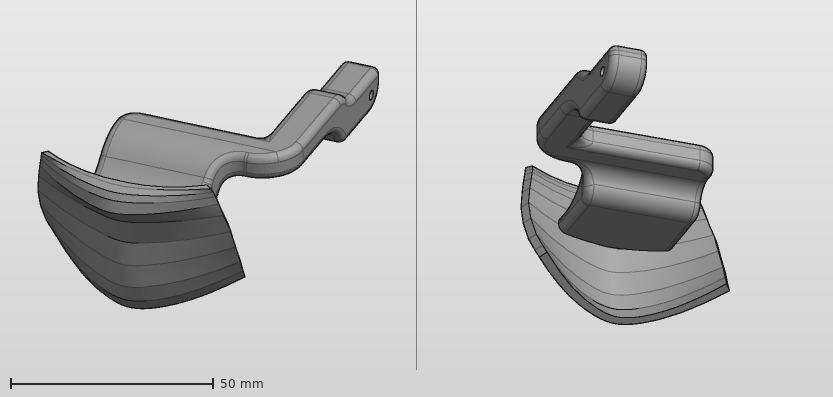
import cadquery as cq
import math

length = 94.0
edge_round = 2.0
tolerance = 0.01

lever_width = 10.0
lever_right = 32.5
lever_left = lever_right - lever_width
lever_top = 10.1
lever_bottom = -0.2
lever_toe_radius = 7.05

bar_top = 14.2
bar_bottom = 7.2
bar_back = 44.0
bar_front = 33.9
outer_bend_radius = 10.6
inner_bend_radius = 4.3

plate_half_width = 15.1
plate_top = 4.4
plate_corner_radius = 5.0
plate_neck_radius = 6.0
plate_end_side = 11.1
plate_end_middle = 8.4

lever_step_back = 78.0
lever_step_front = 68.2
lever_heel_front = 58.7
lever_heel_radius = 13.5
top_drop_back = 38.3
top_drop_front = 16.5
bottom_drop_back = 37.1
bottom_drop_front = 28.2

pivot_y = 87.8
pivot_z = 4.9
pivot_diameter = 2.4
recess_diameter = 5.4
recess_depth = 0.3

pad_levels = [
    (25.2, (26.8, -14.3), (12.0, -22.75), 2.1, 1.9, 1.7, 1.7),
    (25.6, (24.7, -11.5), (9.3, -19.1), 2.1, 1.9, 1.7, 1.7),
    (26.1, (21.8, -7.05), (7.8, -14.4), 2.1, 1.9, 1.6, 1.6),
    (26.2, (18.3, -0.9), (7.4, -8.0), 2.1, 1.9, 1.5, 1.6),
    (25.95, (16.0, 4.7), (7.4, -1.4), 2.1, 1.9, 1.5, 1.6),
    (24.8, (14.0, 9.9), (4.7, 6.0), 2.8, 1.9, 1.5, 1.6),
    (24.1, (13.1, 13.2), (0.0, 10.8), 6.2, 1.9, 1.6, 1.7),
    (23.5, (12.2, 15.3), (0.8, 13.9), 5.0, 1.7, 1.7, 2.0),
    (23.1, (11.3, 16.7), (2.0, 15.6), 3.8, 1.3, 1.7, 2.2),
    (22.75, (10.25, 18.1), (4.3, 16.4), 1.5, 0.9, 1.7, 2.2),
]
pad_side_taper = 1.4
pad_half_steps = 4


def add_step(profile, start, end):
    """Draw a line to start, then two equal arcs to end, level at both ends."""
    middle = ((start[0] + end[0]) / 2, (start[1] + end[1]) / 2)
    run = abs(middle[0] - start[0])
    rise = abs(middle[1] - start[1])
    radius = (run**2 + rise**2) / (2 * rise)
    turn = math.copysign(radius, (end[0] - start[0]) * (end[1] - start[1]))
    return profile.lineTo(*start).radiusArc(middle, -turn).radiusArc(end, turn)


def make_side_profile():
    """Arm seen along X, extruded over its whole width."""
    heel_centre_height = bar_bottom - lever_heel_radius
    heel_run = math.sqrt(lever_heel_radius**2 - (lever_bottom - heel_centre_height) ** 2)
    profile = cq.Workplane("YZ", origin=(-plate_half_width, 0, 0)).moveTo(length, lever_top)
    profile = add_step(profile, (lever_step_back, lever_top), (lever_step_front, bar_top))
    profile = add_step(profile, (top_drop_back, bar_top), (top_drop_front, plate_top))
    profile = profile.lineTo(0, plate_top).lineTo(0, 0)
    profile = add_step(profile, (bottom_drop_front, 0), (bottom_drop_back, bar_bottom))
    return (
        profile.lineTo(lever_heel_front, bar_bottom)
        .radiusArc((lever_heel_front + heel_run, lever_bottom), lever_heel_radius)
        .lineTo(length - lever_toe_radius, lever_bottom)
        .radiusArc((length, lever_bottom + lever_toe_radius), -lever_toe_radius)
        .close()
        .extrude(plate_half_width + lever_right)
    )


def make_outline():
    """Arm seen along Z, extruded over its whole height."""
    side = plate_half_width
    return (
        cq.Workplane("XY", origin=(0, 0, lever_bottom))
        .moveTo(lever_left, length)
        .lineTo(lever_right, length)
        .lineTo(lever_right, bar_front + outer_bend_radius)
        .radiusArc((lever_right - outer_bend_radius, bar_front), outer_bend_radius)
        .lineTo(side + plate_neck_radius, bar_front)
        .radiusArc((side, bar_front - plate_neck_radius), -plate_neck_radius)
        .lineTo(side, plate_end_side)
        .threePointArc((0, plate_end_middle), (-side, plate_end_side))
        .lineTo(-side, bar_back - plate_corner_radius)
        .radiusArc((-side + plate_corner_radius, bar_back), plate_corner_radius)
        .lineTo(lever_left, bar_back)
        .close()
        .extrude(bar_top - lever_bottom)
    )


def is_rounded(edge):
    """True for the rim edges of the arm, the heel edge and those of the free end."""
    centre = edge.Center()
    box = edge.BoundingBox()
    if centre.y < plate_end_side + tolerance:
        return False
    if centre.y > length - tolerance:
        return True
    upright = box.xlen < tolerance and box.ylen < tolerance
    crosswise = box.ylen < tolerance and box.zlen < tolerance
    on_bar_back = abs(centre.y - bar_back) < tolerance
    on_heel = centre.z < lever_bottom + tolerance and centre.y < lever_step_back
    return not upright and (not crosswise or on_bar_back or on_heel)


def make_arm():
    arm = make_outline().intersect(make_side_profile())
    rounded_edges = [edge for edge in arm.edges().vals() if is_rounded(edge)]
    return arm.newObject(rounded_edges).fillet(edge_round)


def round_inner_bend(arm):
    """Fillet the upright inner corner between lever and crossbar."""
    corner = cq.Vector(lever_left, bar_back, (bar_bottom + bar_top) / 2)
    return arm.edges(cq.NearestToPointSelector(corner.toTuple())).fillet(inner_bend_radius)


def cut_pivot(arm):
    pivot = cq.Workplane("YZ", origin=(lever_left, pivot_y, pivot_z))
    hole = pivot.circle(pivot_diameter / 2).extrude(lever_width)
    recess = pivot.circle(recess_diameter / 2).extrude(recess_depth)
    return arm.cut(hole).cut(recess)


def make_pad_section(half_width, corner, front, middle_wall, side_wall, outer_power, inner_power):
    """Closed crescent in the tilted plane through the back corners and the front middle."""
    depth = math.dist(corner, front)
    forward_y = (front[0] - corner[0]) / depth
    forward_z = (front[1] - corner[1]) / depth

    def curve_points(curve_half_width, side_depth, middle_depth, power):
        points = []
        for step in range(-pad_half_steps, pad_half_steps + 1):
            offset = step / pad_half_steps
            forward = middle_depth - (middle_depth - side_depth) * abs(offset) ** power
            x = curve_half_width * offset
            y = corner[0] + forward * forward_y
            z = corner[1] + forward * forward_z
            points.append(cq.Vector(x, y, z))
        return points

    outer = curve_points(half_width, side_wall, depth, outer_power)
    inner = curve_points(half_width - pad_side_taper, 0, depth - middle_wall, inner_power)
    return cq.Wire.assembleEdges(
        [
            cq.Edge.makeSpline(outer),
            cq.Edge.makeLine(outer[-1], inner[-1]),
            cq.Edge.makeSpline(inner[::-1]),
            cq.Edge.makeLine(inner[0], outer[0]),
        ]
    )


def make_pad():
    sections = [make_pad_section(*level) for level in pad_levels]
    return cq.Workplane(cq.Solid.makeLoft(sections, True))


result = cut_pivot(round_inner_bend(make_arm())).union(make_pad())